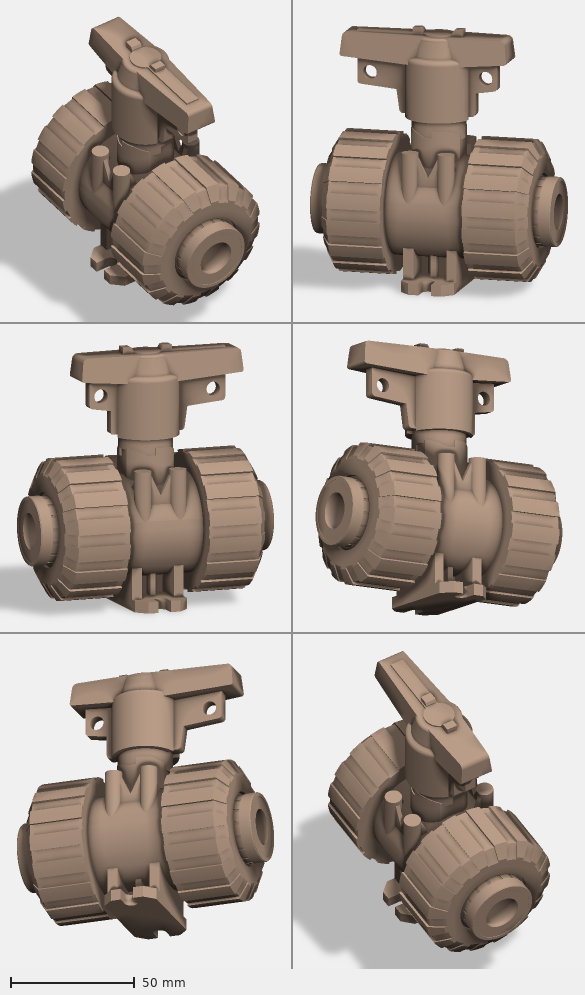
import cadquery as cq
import math


overall_length = 100.5
half_length = overall_length / 2
flow_radius = 6.2
body_radius = 21.0
body_half_length = 36.1

nut_inner_x = 17.1
nut_outer_x = 43.1
nut_taper_x = 39.5
nut_wall_x = 38.2
nut_ridge_radius = 29.0
nut_ridge_face_radius = 23.1
nut_groove_depth = 1.1
nut_groove_width = 5.0
nut_groove_count = 16
nut_hole_radius = 15.4

socket_radius = 7.4
rim_radius = 14.2
rim_length = 5.1
rim_chamfer = 0.4
face_recess_radius = 12.6
face_recess_depth = 0.2
neck_radius = 14.0
neck_slot_depth = 0.3
neck_slot_width = 1.4
neck_slot_count = 16
shoulder_end_x = 42.5
shoulder_taper = 1.1

seat_radius = 11.6
seat_flat_x = 10.2
cam_top_z = 32.9
cam_depth = 3.0
cam_flat_length = 3.0
cam_ramp_end = 9.9

stem_radius = 11.1
stem_top_z = 48.6
lug_short_z = 31.9
lug_long_z = 28.7

post_x = 7.5
post_y = 17.0
post_radius = 3.5
post_top_z = 25.0
web_thickness = 1.8
web_top_z = 23.1
web_ledge = 3.3
web_low_z = 14.5
web_base_z = 5.3
seat_web_angle = 20.0

foot_bottom_z = -32.8
foot_top_z = -28.1
foot_half_x = 11.1
foot_half_y = 22.2
foot_corner_x = 4.2
foot_corner_y = 4.4
foot_slot_width = 5.3
foot_slot_depth = 7.8
leg_thickness = 4.2
leg_half_y = 14.3
leg_top_z = -12.7
rib_thickness = 2.3
rib_half_y = 8.7
boss_radius = 4.5

hub_radius = 13.7
hub_bottom_z = 36.7
hub_wall_top_z = 60.2
hub_shoulder_mid = (13.4, 61.2)
hub_shoulder_end = (12.6, 61.8)
hub_slot_width = 6.7
hub_slot_top_z = 60.3
cone_base_radius = 11.4
cone_base_z = 62.4
cone_top_radius = 9.6
cone_top_fillet = 1.3
grip_bottom_z = 58.6
grip_top_z = 70.7
grip_left_x = -30.4
grip_right_x = 40.2
grip_left_half_y = 7.5
grip_middle_half_y = 9.2
grip_right_half_y = 7.0
grip_taper = 6.2
grip_left_fillet = 2.2
grip_right_fillet = 1.7
grip_lower_fillet = 1.0
grip_end_z = 61.0
disc_radius = 6.4
pad_height = 0.7
strip_width = 5.7

key_thickness = 4.7
key_left_x = -25.0
key_right_x = 33.5
key_top_z = 62.1
key_wing_tip_z = 49.0
key_wing_root_z = 47.6
key_leg_x = 15.8
key_right_root_x = 17.2
key_leg_bottom_z = 37.8
key_corner_radius = 1.5
key_hole_radius = 2.9
key_hole_left_x = -20.1
key_hole_right_x = 28.3
key_hole_z = 53.9
prong_outer_x = 10.5
prong_inner_x = 6.0
prong_top_x = 6.9
prong_top_z = 73.4
prong_bevel_z = 71.9
prong_bevel_fillet = 1.0


def x_cylinder(radius, x_start, x_end):
    """Solid cylinder along the pipe axis."""
    return cq.Workplane("YZ").workplane(offset=x_start).circle(radius).extrude(x_end - x_start)


def block(x_start, x_end, y_start, y_end, z_start, z_end):
    """Box given by its limits along each axis."""
    return cq.Workplane("XY").box(
        x_end - x_start, y_end - y_start, z_end - z_start, centered=False
    ).translate((x_start, y_start, z_start))


def half_turn(shape):
    """Copy turned half a turn about the stem axis, which swaps the two pipe ends."""
    return shape.rotate((0, 0, 0), (0, 0, 1), 180)


def nut_blank(cylinder_radius, face_radius):
    """Cylinder with a tapered outer end."""
    profile = [
        (nut_inner_x, 0),
        (nut_inner_x, cylinder_radius),
        (nut_taper_x, cylinder_radius),
        (nut_outer_x, face_radius),
        (nut_outer_x, 0),
    ]
    return cq.Workplane("XY").polyline(profile).close().revolve(360, (0, 0, 0), (1, 0, 0))


def make_nut():
    ridges = nut_blank(nut_ridge_radius, nut_ridge_face_radius)
    groove = block(
        nut_inner_x, nut_outer_x,
        -nut_groove_width / 2, nut_groove_width / 2,
        body_radius, nut_ridge_radius + nut_groove_depth,
    )
    for i in range(nut_groove_count):
        ridges = ridges.cut(groove.rotate((0, 0, 0), (1, 0, 0), i * 360 / nut_groove_count))
    core = nut_blank(nut_ridge_radius - nut_groove_depth, nut_ridge_face_radius - nut_groove_depth)
    return (
        core.union(ridges)
        .cut(x_cylinder(body_radius, nut_inner_x, nut_wall_x))
        .cut(x_cylinder(nut_hole_radius, nut_wall_x, nut_outer_x))
    )


def make_connector():
    rim_x = half_length - rim_length
    flange = x_cylinder(body_radius, body_half_length, nut_wall_x)
    shoulder = x_cylinder(nut_hole_radius, nut_wall_x, shoulder_end_x).faces(">X").chamfer(shoulder_taper)
    neck = x_cylinder(neck_radius, nut_wall_x, half_length)
    slot = block(
        shoulder_end_x, rim_x,
        -neck_slot_width / 2, neck_slot_width / 2,
        neck_radius - neck_slot_depth, rim_radius,
    )
    rim = x_cylinder(rim_radius, rim_x, half_length).faces(">X").chamfer(rim_chamfer)
    connector = flange.union(shoulder).union(neck).union(rim)
    for i in range(neck_slot_count):
        angle = (i + 0.5) * 360 / neck_slot_count
        connector = connector.cut(slot.rotate((0, 0, 0), (1, 0, 0), angle))
    return (
        connector
        .cut(x_cylinder(face_recess_radius, half_length - face_recess_depth, half_length))
        .cut(x_cylinder(socket_radius, body_half_length, half_length))
    )


def cam_teeth():
    """Four ramped teeth hanging below the cam plane, one per quarter turn."""
    profile = [
        (0, cam_top_z),
        (0, cam_top_z - cam_depth),
        (-cam_flat_length, cam_top_z - cam_depth),
        (-cam_ramp_end, cam_top_z),
    ]
    tooth = cq.Workplane("XZ").polyline(profile).close().extrude(seat_radius)
    teeth = tooth
    for i in range(1, 4):
        teeth = teeth.union(tooth.rotate((0, 0, 0), (0, 0, 1), i * 90))
    return teeth


def seat_block():
    """Squared-off seat with the cam cut into its top."""
    return block(
        -seat_flat_x, seat_flat_x, -seat_radius, seat_radius, 0, cam_top_z
    ).cut(cam_teeth())


def stem_seat():
    return cq.Workplane("XY").circle(seat_radius).extrude(cam_top_z).intersect(seat_block())


def make_stem():
    """Round stem whose lower end drops over the seat flats as long and short lugs."""
    barrel = (
        cq.Workplane("XY").workplane(offset=lug_long_z)
        .circle(stem_radius).extrude(stem_top_z - lug_long_z)
    )
    below_short_lug = block(-seat_radius, -seat_flat_x, -seat_radius, 0, lug_long_z, lug_short_z)
    return barrel.cut(seat_block()).cut(below_short_lug).cut(half_turn(below_short_lug))


def sloped_web(angle):
    """Upright web from a post axis, dropping away from the post, turned about that axis."""
    profile = [
        (0, web_base_z),
        (0, web_top_z),
        (web_ledge, web_top_z),
        (post_x, web_low_z),
        (post_x, web_base_z),
    ]
    web = cq.Workplane("XZ").polyline(profile).close().extrude(web_thickness / 2, both=True)
    return web.rotate((0, 0, 0), (0, 0, 1), angle)


def webbed_post():
    """Post on the -X, +Y side with one web toward its neighbour and one toward the seat."""
    post = cq.Workplane("XY").circle(post_radius).extrude(post_top_z)
    post = post.union(sloped_web(0)).union(sloped_web(-90 - seat_web_angle))
    return post.translate((-post_x, post_y, 0))


def mounting_foot():
    inner_x = foot_half_x - foot_corner_x
    inner_y = foot_half_y - foot_corner_y
    outline = [
        (foot_half_x, inner_y), (inner_x, foot_half_y),
        (-inner_x, foot_half_y), (-foot_half_x, inner_y),
        (-foot_half_x, -inner_y), (-inner_x, -foot_half_y),
        (inner_x, -foot_half_y), (foot_half_x, -inner_y),
    ]
    thickness = foot_top_z - foot_bottom_z
    foot = cq.Workplane("XY").workplane(offset=foot_bottom_z).polyline(outline).close().extrude(thickness)
    slots = (
        cq.Workplane("XY").workplane(offset=foot_bottom_z)
        .pushPoints([(0, -foot_half_y), (0, foot_half_y)])
        .slot2D(2 * foot_slot_depth, foot_slot_width, 90)
        .extrude(thickness)
    )
    foot = foot.cut(slots)

    leg_inner_x = foot_half_x - leg_thickness
    for x_start in (-foot_half_x, leg_inner_x):
        foot = foot.union(
            block(x_start, x_start + leg_thickness, -leg_half_y, leg_half_y, foot_top_z, leg_top_z)
        )
    half_rib = rib_thickness / 2
    lengthwise_rib = block(-leg_inner_x, leg_inner_x, -half_rib, half_rib, foot_top_z, leg_top_z)
    cross_rib = block(-half_rib, half_rib, -rib_half_y, rib_half_y, foot_top_z, leg_top_z)
    boss = cq.Workplane("XY").workplane(offset=foot_top_z).circle(boss_radius).extrude(leg_top_z - foot_top_z)
    return foot.union(lengthwise_rib).union(cross_rib).union(boss)


def make_body():
    body = x_cylinder(body_radius, -body_half_length, body_half_length)
    body = body.union(stem_seat()).union(mounting_foot())
    left_back_post = webbed_post()
    left_front_post = left_back_post.mirror("XZ")
    for post in (left_back_post, left_front_post):
        body = body.union(post).union(post.mirror("YZ"))
    return body.cut(x_cylinder(flow_radius, -body_half_length, body_half_length))


def key_prong():
    """Right-hand prong with a bevelled tip that shows above the handle."""
    profile = [
        (prong_inner_x, hub_slot_top_z),
        (prong_outer_x, hub_slot_top_z),
        (prong_outer_x, prong_top_z),
        (prong_top_x, prong_top_z),
        (prong_inner_x, prong_bevel_z),
    ]
    prong = cq.Workplane("XZ").polyline(profile).close().extrude(key_thickness / 2, both=True)
    bevel_edge = cq.selectors.NearestToPointSelector((prong_top_x, 0, prong_top_z))
    return prong.edges(bevel_edge).fillet(prong_bevel_fillet)


def make_key():
    outline = [
        (key_left_x, key_top_z),
        (key_left_x, key_wing_tip_z),
        (-key_leg_x, key_wing_root_z),
        (-key_leg_x, key_leg_bottom_z),
        (-stem_radius, key_leg_bottom_z),
        (-stem_radius, stem_top_z),
        (stem_radius, stem_top_z),
        (stem_radius, key_leg_bottom_z),
        (key_leg_x, key_leg_bottom_z),
        (key_right_root_x, key_wing_root_z),
        (key_right_x, key_wing_tip_z),
        (key_right_x, key_top_z),
    ]
    plate = cq.Workplane("XZ").polyline(outline).close().extrude(key_thickness / 2, both=True)
    for x, z in (
        (key_left_x, key_wing_tip_z), (key_right_x, key_wing_tip_z),
        (-key_leg_x, key_leg_bottom_z), (key_leg_x, key_leg_bottom_z),
    ):
        plate = plate.edges(cq.selectors.NearestToPointSelector((x, 0, z))).fillet(key_corner_radius)
    holes = (
        cq.Workplane("XZ")
        .pushPoints([(key_hole_left_x, key_hole_z), (key_hole_right_x, key_hole_z)])
        .circle(key_hole_radius)
        .extrude(key_thickness, both=True)
    )
    prong = key_prong()
    return plate.cut(holes).union(prong).union(prong.mirror("YZ"))


def handle_hub():
    """Hub with a rounded shoulder and a tapered, rounded crown."""
    diagonal = math.sqrt(0.5)
    crown_start_z = grip_top_z - cone_top_fillet
    crown_radius = cone_top_radius - cone_top_fillet
    hub = (
        cq.Workplane("XZ")
        .moveTo(0, hub_bottom_z)
        .lineTo(hub_radius, hub_bottom_z)
        .lineTo(hub_radius, hub_wall_top_z)
        .threePointArc(hub_shoulder_mid, hub_shoulder_end)
        .lineTo(cone_base_radius, cone_base_z)
        .lineTo(cone_top_radius, crown_start_z)
        .threePointArc(
            (crown_radius + diagonal * cone_top_fillet, crown_start_z + diagonal * cone_top_fillet),
            (crown_radius, grip_top_z),
        )
        .lineTo(0, grip_top_z)
        .close()
        .revolve(360, (0, 0, 0), (0, 1, 0))
    )
    slot = block(
        -hub_radius, hub_radius, -hub_slot_width / 2, hub_slot_width / 2, hub_bottom_z, hub_slot_top_z
    )
    socket = (
        cq.Workplane("XY").workplane(offset=hub_bottom_z)
        .circle(stem_radius).extrude(stem_top_z - hub_bottom_z)
    )
    return hub.cut(slot).cut(socket)


def handle_grip():
    """Tapered bar, widest on the stem axis, with an underside that rises toward both ends."""
    outline = [
        (grip_left_x, grip_left_half_y), (0, grip_middle_half_y), (grip_right_x, grip_right_half_y),
        (grip_right_x, -grip_right_half_y), (0, -grip_middle_half_y), (grip_left_x, -grip_left_half_y),
    ]
    grip = (
        cq.Workplane("XY").workplane(offset=grip_bottom_z)
        .polyline(outline).close()
        .extrude(grip_top_z - grip_bottom_z, taper=grip_taper)
    )
    grip = grip.faces(">Z").edges("|Y").edges("<X").fillet(grip_left_fillet)
    grip = grip.faces(">Z").edges("|Y").edges(">X").fillet(grip_right_fillet)
    below_grip = [
        (grip_left_x, grip_bottom_z),
        (grip_left_x, grip_end_z),
        (0, grip_bottom_z),
        (grip_right_x, grip_end_z),
        (grip_right_x, grip_bottom_z),
    ]
    underside = cq.Workplane("XZ").polyline(below_grip).close().extrude(hub_radius, both=True)
    grip = grip.cut(underside)
    for x in (grip_left_x, grip_right_x):
        lower_edge = cq.selectors.NearestToPointSelector((x, 0, grip_end_z))
        grip = grip.edges(lower_edge).fillet(grip_lower_fillet)
    return grip


def make_handle(key):
    disc = cq.Workplane("XY").workplane(offset=grip_top_z).circle(disc_radius).extrude(pad_height)
    strip = block(
        0, key_right_x, -strip_width / 2, strip_width / 2, grip_top_z, grip_top_z + pad_height
    )
    return handle_hub().union(handle_grip()).union(disc).union(strip).cut(key)


body = make_body()
stem = make_stem()
key = make_key()
handle = make_handle(key)

right_nut = make_nut()
right_connector = make_connector()
end_bodies = []
for end_body in (right_nut, right_connector):
    end_bodies.append(end_body.val())
    end_bodies.append(half_turn(end_body).val())

result = cq.Compound.makeCompound([body.val(), stem.val(), handle.val(), key.val(), *end_bodies])